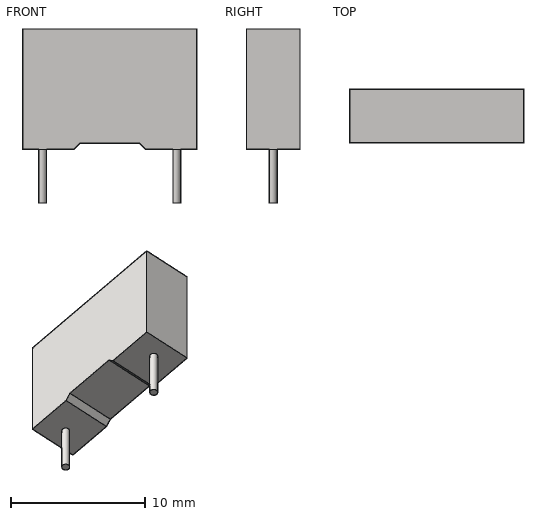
import cadquery as cq

overall_height = 13.0

body_width = 13.0
body_depth = 4.0
body_height = 9.0

notch_height = 0.44
notch_bottom_width = 5.33
notch_top_width = notch_bottom_width - 2 * notch_height

pin_diameter = 0.6
pin_length = overall_height - body_height
pin_pitch = 10.0


def make_body():
    """Box with its underside at Z = 0, centred on X and Y, less the relief."""
    block = cq.Workplane("XY").box(body_width, body_depth, body_height, centered=(True, True, False))
    notch = (
        cq.Workplane("XZ")
        .moveTo(-notch_bottom_width / 2, 0)
        .lineTo(-notch_top_width / 2, notch_height)
        .lineTo(notch_top_width / 2, notch_height)
        .lineTo(notch_bottom_width / 2, 0)
        .close()
        .extrude(body_depth / 2, both=True)
    )
    return block.cut(notch)


def make_pins():
    """Two leads hanging from the underside, on the middle plane of the body."""
    return (
        cq.Workplane("XY")
        .pushPoints([(-pin_pitch / 2, 0), (pin_pitch / 2, 0)])
        .circle(pin_diameter / 2)
        .extrude(-pin_length)
    )


result = make_body().union(make_pins())